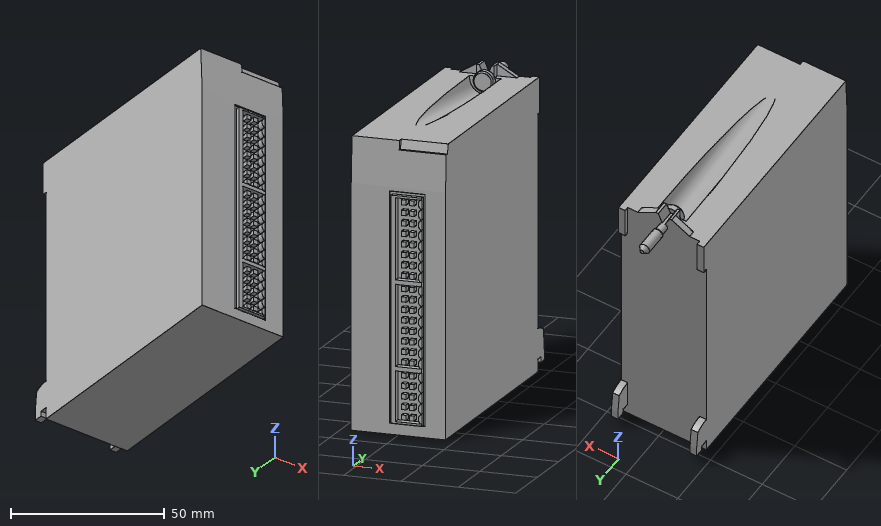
import cadquery as cq
import math

WIDTH = 33.0
HALF_WIDTH = WIDTH / 2
HEIGHT = 100.0
BACK_Y = 86.2
SEAM_Y = 15.1
TAPER_START_Z = 84.1
TAPER_SETBACK = 0.8

NOTCH_LEFT_X = 0.1
NOTCH_FLOOR_Z = 96.8
NOTCH_TOP_Y = 2.6
NOTCH_BOTTOM_Y = 1.7

EAR_THICKNESS = 2.6
UPPER_EAR_Y = 87.8
UPPER_EAR_BOTTOM_Z = 87.7
FOOT_TIP_Y = 92.2
FOOT_TOP_Z = 14.8
FOOT_BROW_MIDDLE = (88.9, 14.4)
FOOT_BROW_END = (91.4, 13.3)
FOOT_TIP_TOP_Z = 6.0
FOOT_BOTTOM_Z = 2.5
FOOT_SLOT_Z = 4.4
FOOT_SLOT_Y = 88.9

SCREW_Z = 99.0
HEAD_RADIUS = 3.5
HEAD_FRONT_Y = 78.6
HEAD_BACK_Y = 81.1
HEAD_EDGE = 0.5
STEM_RADIUS = 1.5
PIN_RADIUS = 1.9
PIN_START_Y = 89.7
PIN_END_Y = 97.9
TIP_RADIUS = 0.75
TIP_Y = 99.5

GROOVE_RADIUS = 5.5
GROOVE_FRONT_Y = 18.5
GROOVE_CENTER_Y = 76.0

CLIP_TOP_Z = 104.0
CLIP_HALF_WIDTH = 3.1
CLIP_MOUTH_HALF_WIDTH = 2.1
CLIP_THROAT_HALF_WIDTH = 0.4
WING_HALF_WIDTH = 10.0
WING_FRONT_Y = 83.8

POCKET_LEFT_X = -3.1
POCKET_RIGHT_X = 9.3
POCKET_BOTTOM_Z = 3.9
POCKET_TOP_Z = 82.7
POCKET_DEPTH = 0.6
BLOCK_LEFT_X = -2.2
BLOCK_RIGHT_X = 8.55
BLOCK_PROTRUSION = 1.0
BLOCK_BASE_Z = 4.1
BLOCK_TOP_Z = 81.7
BLOCK_ROWS = (8, 8, 5)
ROW_PITCH = 3.57
BLOCK_RIM = 0.75
BLOCK_MARGIN = (BLOCK_TOP_Z - BLOCK_BASE_Z - sum(BLOCK_ROWS) * ROW_PITCH) / len(BLOCK_ROWS)
FACE_LEFT_X = -0.6
FACE_DEPTH = 2.5
POST_COLUMNS = (2.1, 4.9)
POST_SIZE = 1.7
POST_LENGTH = 2.0
RIB_LEFT_X = 7.25
RIB_RADIUS = 2.0
RIB_LENGTH = 2.2

OVERLAP = 0.5


def box(x0, x1, y0, y1, z0, z1):
    """Box between two opposite corners."""
    return cq.Workplane("XY").box(x1 - x0, y1 - y0, z1 - z0, centered=False).translate((x0, y0, z0))


def side_profile(points, x0, x1):
    """Extrude a closed (y, z) outline from x0 to x1."""
    return cq.Workplane("YZ", origin=(x0, 0, 0)).polyline(points).close().extrude(x1 - x0)


def front_profile(points, y0, y1):
    """Extrude a closed (x, z) outline from y0 to y1."""
    return cq.Workplane("XZ", origin=(0, y0, 0)).polyline(points).close().extrude(y0 - y1)


def make_cover():
    outline = [
        (SEAM_Y, 0),
        (0, 0),
        (0, TAPER_START_Z),
        (TAPER_SETBACK, HEIGHT),
        (SEAM_Y, HEIGHT),
    ]
    notch = [
        (-OVERLAP, NOTCH_FLOOR_Z),
        (NOTCH_BOTTOM_Y, NOTCH_FLOOR_Z),
        (NOTCH_TOP_Y, HEIGHT),
        (-OVERLAP, HEIGHT),
    ]
    cover = side_profile(outline, -HALF_WIDTH, HALF_WIDTH)
    cover = cover.cut(side_profile(notch, NOTCH_LEFT_X, HALF_WIDTH))
    return cover.cut(box(POCKET_LEFT_X, POCKET_RIGHT_X, 0, POCKET_DEPTH, POCKET_BOTTOM_Z, POCKET_TOP_Z))


def make_ears(x0):
    """Upper hook and lower foot on one side, starting at x0."""
    x1 = x0 + EAR_THICKNESS
    inner_y = BACK_Y - OVERLAP
    hook = box(x0, x1, inner_y, UPPER_EAR_Y, UPPER_EAR_BOTTOM_Z, HEIGHT)
    foot = (
        cq.Workplane("YZ", origin=(x0, 0, 0))
        .moveTo(inner_y, FOOT_TOP_Z)
        .lineTo(BACK_Y, FOOT_TOP_Z)
        .threePointArc(FOOT_BROW_MIDDLE, FOOT_BROW_END)
        .lineTo(FOOT_TIP_Y, FOOT_TIP_TOP_Z)
        .lineTo(FOOT_TIP_Y, FOOT_BOTTOM_Z)
        .lineTo(FOOT_SLOT_Y, FOOT_BOTTOM_Z)
        .lineTo(FOOT_SLOT_Y, FOOT_SLOT_Z)
        .lineTo(inner_y, FOOT_SLOT_Z)
        .close()
        .extrude(EAR_THICKNESS)
    )
    return hook.union(foot)


def make_groove():
    """Tilted cylinder, trimmed square behind the screw head."""
    half_length = GROOVE_CENTER_Y - GROOVE_FRONT_Y
    tilt = math.degrees(math.asin(GROOVE_RADIUS / half_length))
    length = 4 * half_length
    cylinder = cq.Workplane("XZ").circle(GROOVE_RADIUS).extrude(length / 2, both=True)
    cylinder = cylinder.rotate((0, 0, 0), (1, 0, 0), -tilt).translate((0, GROOVE_CENTER_Y, HEIGHT))
    limit = box(-HALF_WIDTH, HALF_WIDTH, SEAM_Y, HEAD_BACK_Y, 0, HEIGHT + GROOVE_RADIUS)
    return cylinder.intersect(limit)


def make_clip():
    """Two posts around the screw stem, each braced by a sloping wing."""
    base_z = HEIGHT - OVERLAP
    posts = box(-CLIP_HALF_WIDTH, CLIP_HALF_WIDTH, HEAD_BACK_Y, BACK_Y, base_z, CLIP_TOP_Z)
    wing_outline = [
        (-WING_HALF_WIDTH, base_z),
        (-WING_HALF_WIDTH, HEIGHT),
        (-CLIP_HALF_WIDTH, CLIP_TOP_Z),
        (CLIP_HALF_WIDTH, CLIP_TOP_Z),
        (WING_HALF_WIDTH, HEIGHT),
        (WING_HALF_WIDTH, base_z),
    ]
    mouth_outline = [
        (-CLIP_MOUTH_HALF_WIDTH, CLIP_TOP_Z),
        (-CLIP_THROAT_HALF_WIDTH, HEIGHT),
        (CLIP_THROAT_HALF_WIDTH, HEIGHT),
        (CLIP_MOUTH_HALF_WIDTH, CLIP_TOP_Z),
    ]
    clip = posts.union(front_profile(wing_outline, WING_FRONT_Y, BACK_Y))
    return clip.cut(front_profile(mouth_outline, HEAD_BACK_Y, BACK_Y))


def make_screw():
    """Head, stem, pin and tapered tip turned about one axis."""
    half_section = [
        (0, HEAD_FRONT_Y),
        (HEAD_RADIUS - HEAD_EDGE, HEAD_FRONT_Y),
        (HEAD_RADIUS, HEAD_FRONT_Y + HEAD_EDGE),
        (HEAD_RADIUS, HEAD_BACK_Y),
        (STEM_RADIUS, HEAD_BACK_Y),
        (STEM_RADIUS, PIN_START_Y),
        (PIN_RADIUS, PIN_START_Y),
        (PIN_RADIUS, PIN_END_Y),
        (TIP_RADIUS, TIP_Y),
        (0, TIP_Y),
    ]
    turned = cq.Workplane("XY").polyline(half_section).close().revolve(360, (0, 0, 0), (0, 1, 0))
    return turned.translate((0, 0, SCREW_Z))


def make_block(rows, bottom_z):
    """Terminal block: a recessed face, open on the right, with raised posts and rounded ribs."""
    height = rows * ROW_PITCH + BLOCK_MARGIN
    front_y = -BLOCK_PROTRUSION
    face_y = front_y + FACE_DEPTH
    face_bottom_z = bottom_z + BLOCK_RIM
    face_top_z = bottom_z + height - BLOCK_RIM
    block = box(BLOCK_LEFT_X, BLOCK_RIGHT_X, front_y, face_y + OVERLAP, bottom_z, bottom_z + height)
    block = block.cut(box(FACE_LEFT_X, BLOCK_RIGHT_X, front_y, face_y, face_bottom_z, face_top_z))
    first_row_z = bottom_z + (BLOCK_MARGIN + ROW_PITCH) / 2
    row_heights = [first_row_z + row * ROW_PITCH for row in range(rows)]
    posts = [(x, z) for x in POST_COLUMNS for z in row_heights]
    root = cq.Workplane("XZ", origin=(0, face_y + OVERLAP, 0))
    block = block.union(root.pushPoints(posts).rect(POST_SIZE, POST_SIZE).extrude(POST_LENGTH + OVERLAP))
    rib_space = box(FACE_LEFT_X, BLOCK_RIGHT_X, front_y, face_y + OVERLAP, face_bottom_z, face_top_z)
    for z in row_heights:
        rib = root.center(RIB_LEFT_X + RIB_RADIUS, z).circle(RIB_RADIUS).extrude(RIB_LENGTH + OVERLAP)
        block = block.union(rib.intersect(rib_space))
    return block


def make_block_bay():
    """Space in the cover that the terminal blocks fill."""
    bay_end_y = FACE_DEPTH - BLOCK_PROTRUSION + OVERLAP
    return box(BLOCK_LEFT_X, BLOCK_RIGHT_X, 0, bay_end_y, BLOCK_BASE_Z, BLOCK_TOP_Z)


case = box(-HALF_WIDTH, HALF_WIDTH, SEAM_Y, BACK_Y, 0, HEIGHT)
case = case.cut(make_groove())
for ear_x in (-HALF_WIDTH, HALF_WIDTH - EAR_THICKNESS):
    case = case.union(make_ears(ear_x))
case = case.union(make_clip()).union(make_screw())

cover = make_cover().cut(make_block_bay())
block_top_z = BLOCK_TOP_Z
for row_count in BLOCK_ROWS:
    block_bottom_z = block_top_z - row_count * ROW_PITCH - BLOCK_MARGIN
    cover = cover.union(make_block(row_count, block_bottom_z), clean=False)
    block_top_z = block_bottom_z

result = cover.union(case, clean=False)